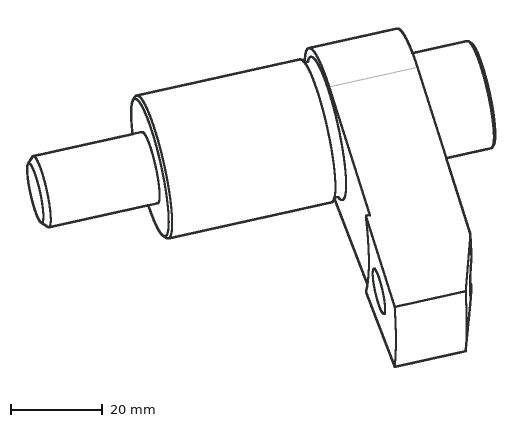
import cadquery as cq
import math

boss_diameter = 24.0
boss_length = 15.0
boss_chamfer = 0.5
hub_diameter = 36.0
arm_thickness = 20.0
body_diameter = 32.0
body_length = 40.0
body_chamfer = 0.6
pin_diameter = 16.0
pin_chamfer = 1.3
total_length = 101

groove_width = 2.4
groove_depth = 0.9

arm_reach = 59.9
taper_angle = math.radians(7)
pad_inner_radius = 37.9
pad_height = 0.9
hole_diameter = 10.1
hole_distance = 46.0
bevel_start = 46.5
bevel_angle = math.radians(20)
bevel_crown_radius = 202
bevel_lead = 5

arm_back = arm_thickness
boss_end = arm_back + boss_length
body_end = -body_length
pin_end = boss_end - total_length


def cylinder(diameter, y_start, y_end):
    """Cylinder about the Y axis from y_start down to y_end."""
    plane = cq.Workplane("XZ", origin=(0, y_start, 0))
    return plane.circle(diameter / 2).extrude(y_start - y_end)


def arm_blank(y_start, y_end):
    """Hub disc with tangent tapering sides and a tip arc concentric with the hub."""
    hub_radius = hub_diameter / 2
    tangent_x = hub_radius * math.sin(taper_angle)
    tangent_z = hub_radius * math.cos(taper_angle)
    side_length = math.sqrt(arm_reach**2 - hub_radius**2)
    tip_x = tangent_x + side_length * math.cos(taper_angle)
    tip_z = tangent_z - side_length * math.sin(taper_angle)
    return (
        cq.Workplane("XZ", origin=(0, y_start, 0))
        .moveTo(tangent_x, tangent_z)
        .lineTo(tip_x, tip_z)
        .threePointArc((arm_reach, 0), (tip_x, -tip_z))
        .lineTo(tangent_x, -tangent_z)
        .threePointArc((-hub_radius, 0), (tangent_x, tangent_z))
        .close()
        .extrude(y_start - y_end)
    )


def bevel_cutter():
    """Block with a hollow cylindrical underside that leaves a crowned bevel on the arm's back.

    The crest of the crown starts at bevel_start and slopes down toward the tip.
    """
    half_width = hub_diameter / 2
    edge_drop = bevel_crown_radius - math.sqrt(bevel_crown_radius**2 - half_width**2)
    slope = cq.Vector(math.cos(bevel_angle), -math.sin(bevel_angle), 0)
    crest = cq.Vector(bevel_start, arm_back, 0)
    section = cq.Plane(origin=crest - slope * bevel_lead, xDir=(0, 0, -1), normal=slope)
    return (
        cq.Workplane(section)
        .moveTo(-half_width, -edge_drop)
        .threePointArc((0, 0), (half_width, -edge_drop))
        .lineTo(half_width, arm_thickness)
        .lineTo(-half_width, arm_thickness)
        .close()
        .extrude(bevel_lead + arm_reach - bevel_start + arm_thickness)
    )


def make_arm():
    pad = arm_blank(0, -pad_height).cut(cylinder(2 * pad_inner_radius, 0, -pad_height))
    hole = (
        cq.Workplane("XZ", origin=(hole_distance, arm_back, 0))
        .circle(hole_diameter / 2)
        .extrude(arm_thickness + pad_height)
    )
    return arm_blank(arm_back, 0).union(pad).cut(bevel_cutter()).cut(hole)


def groove_cutter():
    """Ring about the Y axis whose section is bounded by a concave arc."""
    body_radius = body_diameter / 2
    return (
        cq.Workplane("XY")
        .moveTo(body_radius, 0)
        .threePointArc((body_radius - groove_depth, -groove_width / 2), (body_radius, -groove_width))
        .close()
        .revolve(360, (0, 0, 0), (0, 1, 0))
    )


def make_body():
    body = cylinder(body_diameter, 0, body_end).faces("<Y").chamfer(body_chamfer)
    return body.cut(groove_cutter())


boss = cylinder(boss_diameter, boss_end, arm_back).faces(">Y").chamfer(boss_chamfer)
pin = cylinder(pin_diameter, body_end, pin_end).faces("<Y").chamfer(pin_chamfer)
result = make_arm().union(boss).union(make_body()).union(pin)